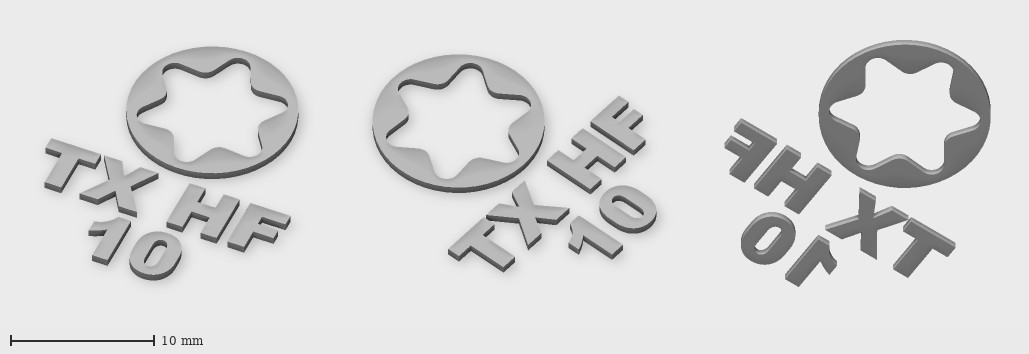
import cadquery as cq
import math

THICKNESS = 0.6
CAPITAL_HEIGHT = 4.0
UPPER_BASELINE = -10.97
LOWER_BASELINE = -15.95

RING_RADIUS = 6.0
LOBE_COUNT = 6
LOBE_REACH = 5.3
LOBE_ROUNDING = 0.88
VALLEY_REACH = 3.55
VALLEY_ROUNDING = 0.93

T_LEFT = -9.2
T_WIDTH = 3.8
T_STEM = 1.25
T_BAR = 1.0

X_CENTRE = -3.1
X_TOP_OUTER = 2.07
X_TOP_INNER = 0.68
X_BOTTOM_OUTER = 2.2
X_BOTTOM_INNER = 0.8
X_WAIST = 0.8
X_WAIST_HEIGHT = 2.05
X_TOP_NOTCH_HEIGHT = 2.71
X_BOTTOM_NOTCH_HEIGHT = 1.25

H_LEFT = 1.35
H_WIDTH = 3.82
H_STEM = 1.21
H_BAR_BOTTOM = 1.6
H_BAR = 1.0

F_LEFT = 5.98
F_WIDTH = 3.07
F_STEM = 1.28
F_TOP_ARM = 0.88
F_LOWER_ARM_BOTTOM = 1.6
F_LOWER_ARM = 0.82
F_LOWER_ARM_LENGTH = 2.82

ONE_RIGHT = -0.95
ONE_HEIGHT = 4.05
ONE_WIDTH = 2.35
ONE_STEM = 1.17
ONE_TOP_WIDTH = 0.97
FLAG_TOP = 3.0
FLAG_BOTTOM = 2.05
FLAG_ROOT = 2.65
FLAG_UPPER_BEND = (1.5, 3.35)
FLAG_LOWER_BEND = (1.75, 2.3)

ZERO_CENTRE_X = 1.85
ZERO_HALF_WIDTH = 1.63
ZERO_HALF_HEIGHT = 2.07
ZERO_SIDE = 0.3
ZERO_OVERSHOOT = 0.1
OPENING_HALF_WIDTH = 0.5
OPENING_HALF_HEIGHT = 1.32
OPENING_SIDE = 0.66
OVAL_FULLNESS = 0.6


def polar(radius, angle):
    return (radius * math.cos(angle), radius * math.sin(angle))


def offset(point, radius, angle):
    dx, dy = polar(radius, angle)
    return (point[0] + dx, point[1] + dy)


def plate(points, reference_x, baseline):
    """Straight-sided plate; its points are measured from the reference X and the baseline."""
    return cq.Workplane("XY", origin=(reference_x, baseline, 0)).polyline(points).close().extrude(THICKNESS)


def lobed_opening():
    """Star of lobe and valley arcs joined by their common inner tangent lines."""
    half_pitch = math.pi / LOBE_COUNT
    lobe_distance = LOBE_REACH - LOBE_ROUNDING
    valley_distance = VALLEY_REACH + VALLEY_ROUNDING

    valley_x, valley_y = polar(valley_distance, half_pitch)
    centre_gap = math.hypot(valley_x - lobe_distance, valley_y)
    centre_line = math.atan2(valley_y, valley_x - lobe_distance)
    normal = centre_line - math.acos((LOBE_ROUNDING + VALLEY_ROUNDING) / centre_gap)

    first_lobe = math.pi / 2
    first_centre = polar(lobe_distance, first_lobe)
    outline = cq.Workplane("XY").moveTo(*offset(first_centre, LOBE_ROUNDING, first_lobe - normal))
    for index in range(LOBE_COUNT):
        lobe = first_lobe + 2 * half_pitch * index
        valley = lobe + half_pitch
        next_lobe = valley + half_pitch
        lobe_centre = polar(lobe_distance, lobe)
        valley_centre = polar(valley_distance, valley)
        next_centre = polar(lobe_distance, next_lobe)
        lobe_end = offset(lobe_centre, LOBE_ROUNDING, lobe + normal)
        valley_start = offset(valley_centre, VALLEY_ROUNDING, lobe + normal + math.pi)
        valley_end = offset(valley_centre, VALLEY_ROUNDING, next_lobe - normal + math.pi)
        outline = outline.threePointArc(polar(LOBE_REACH, lobe), lobe_end)
        outline = outline.lineTo(*valley_start)
        outline = outline.threePointArc(polar(VALLEY_REACH, valley), valley_end)
        if index < LOBE_COUNT - 1:
            outline = outline.lineTo(*offset(next_centre, LOBE_ROUNDING, next_lobe - normal))
    return outline.close().extrude(THICKNESS)


def make_ring():
    return cq.Workplane("XY").circle(RING_RADIUS).extrude(THICKNESS).cut(lobed_opening())


def make_letter_t():
    stem_left = (T_WIDTH - T_STEM) / 2
    stem_right = stem_left + T_STEM
    bar_bottom = CAPITAL_HEIGHT - T_BAR
    points = [
        (stem_left, 0),
        (stem_right, 0),
        (stem_right, bar_bottom),
        (T_WIDTH, bar_bottom),
        (T_WIDTH, CAPITAL_HEIGHT),
        (0, CAPITAL_HEIGHT),
        (0, bar_bottom),
        (stem_left, bar_bottom),
    ]
    return plate(points, T_LEFT, UPPER_BASELINE)


def make_letter_x():
    points = [
        (0, X_BOTTOM_NOTCH_HEIGHT),
        (X_BOTTOM_INNER, 0),
        (X_BOTTOM_OUTER, 0),
        (X_WAIST, X_WAIST_HEIGHT),
        (X_TOP_OUTER, CAPITAL_HEIGHT),
        (X_TOP_INNER, CAPITAL_HEIGHT),
        (0, X_TOP_NOTCH_HEIGHT),
        (-X_TOP_INNER, CAPITAL_HEIGHT),
        (-X_TOP_OUTER, CAPITAL_HEIGHT),
        (-X_WAIST, X_WAIST_HEIGHT),
        (-X_BOTTOM_OUTER, 0),
        (-X_BOTTOM_INNER, 0),
    ]
    return plate(points, X_CENTRE, UPPER_BASELINE)


def make_letter_h():
    right_stem = H_WIDTH - H_STEM
    bar_top = H_BAR_BOTTOM + H_BAR
    points = [
        (0, 0),
        (H_STEM, 0),
        (H_STEM, H_BAR_BOTTOM),
        (right_stem, H_BAR_BOTTOM),
        (right_stem, 0),
        (H_WIDTH, 0),
        (H_WIDTH, CAPITAL_HEIGHT),
        (right_stem, CAPITAL_HEIGHT),
        (right_stem, bar_top),
        (H_STEM, bar_top),
        (H_STEM, CAPITAL_HEIGHT),
        (0, CAPITAL_HEIGHT),
    ]
    return plate(points, H_LEFT, UPPER_BASELINE)


def make_letter_f():
    lower_arm_top = F_LOWER_ARM_BOTTOM + F_LOWER_ARM
    top_arm_bottom = CAPITAL_HEIGHT - F_TOP_ARM
    points = [
        (0, 0),
        (F_STEM, 0),
        (F_STEM, F_LOWER_ARM_BOTTOM),
        (F_LOWER_ARM_LENGTH, F_LOWER_ARM_BOTTOM),
        (F_LOWER_ARM_LENGTH, lower_arm_top),
        (F_STEM, lower_arm_top),
        (F_STEM, top_arm_bottom),
        (F_WIDTH, top_arm_bottom),
        (F_WIDTH, CAPITAL_HEIGHT),
        (0, CAPITAL_HEIGHT),
    ]
    return plate(points, F_LEFT, UPPER_BASELINE)


def make_digit_one():
    upper_bend_x, upper_bend_y = FLAG_UPPER_BEND
    lower_bend_x, lower_bend_y = FLAG_LOWER_BEND
    return (
        cq.Workplane("XY", origin=(ONE_RIGHT, LOWER_BASELINE, 0))
        .lineTo(0, ONE_HEIGHT)
        .lineTo(-ONE_TOP_WIDTH, ONE_HEIGHT)
        .threePointArc((-upper_bend_x, upper_bend_y), (-ONE_WIDTH, FLAG_TOP))
        .lineTo(-ONE_WIDTH, FLAG_BOTTOM)
        .threePointArc((-lower_bend_x, lower_bend_y), (-ONE_STEM, FLAG_ROOT))
        .lineTo(-ONE_STEM, 0)
        .close()
        .extrude(THICKNESS)
    )


def oval(half_width, half_height, side_half_length):
    """Oval with straight sides and rounded ends, one Bezier curve to each quarter."""
    end_height = half_height - side_half_length
    pull_x = half_width * OVAL_FULLNESS
    pull_y = side_half_length + end_height * OVAL_FULLNESS
    right_quarter = [
        (half_width, side_half_length),
        (half_width, pull_y),
        (pull_x, half_height),
        (0, half_height),
    ]
    left_quarter = [(-x, y) for x, y in reversed(right_quarter)]
    centre_y = LOWER_BASELINE - ZERO_OVERSHOOT + ZERO_HALF_HEIGHT
    outline = cq.Workplane("XY", origin=(ZERO_CENTRE_X, centre_y, 0))
    outline = outline.moveTo(half_width, -side_half_length)
    for turn in (1, -1):
        outline = outline.lineTo(turn * half_width, turn * side_half_length)
        for quarter in (right_quarter, left_quarter):
            outline = outline.bezier([(turn * x, turn * y) for x, y in quarter])
    return outline.close().extrude(THICKNESS)


def make_digit_zero():
    body = oval(ZERO_HALF_WIDTH, ZERO_HALF_HEIGHT, ZERO_SIDE)
    opening = oval(OPENING_HALF_WIDTH, OPENING_HALF_HEIGHT, OPENING_SIDE)
    return body.cut(opening)


ring = make_ring()
letter_t = make_letter_t()
letter_x = make_letter_x()
letter_h = make_letter_h()
letter_f = make_letter_f()
digit_one = make_digit_one()
digit_zero = make_digit_zero()

result = cq.Compound.makeCompound(
    [
        ring.val(),
        letter_t.val(),
        letter_x.val(),
        letter_h.val(),
        letter_f.val(),
        digit_one.val(),
        digit_zero.val(),
    ]
)